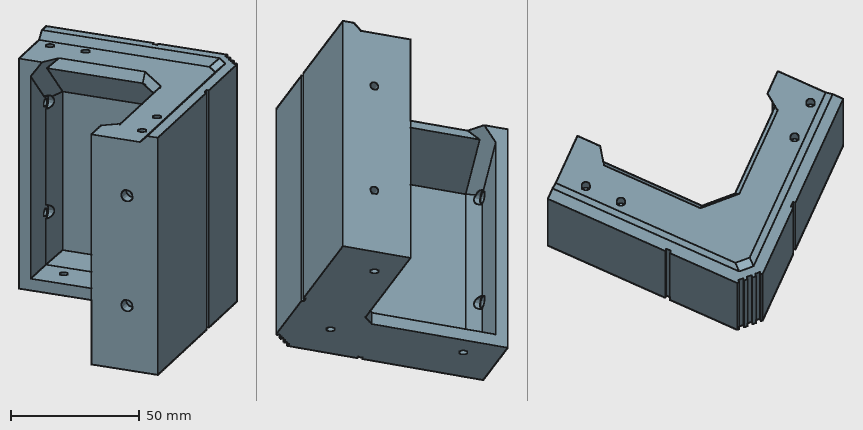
import math

import cadquery as cq


LENGTH_X = 83.5
LENGTH_Y = 88.5
HEIGHT = 100.0
WING_THICKNESS = 28.0
OUTER_CHAMFER = 7.5
INNER_CHAMFER = 4.2
REACH = 200.0

LIP_HEIGHT = 3.0
LIP_WIDTH = 4.5
LIP_CORNER_LEG = 4.2
DECK_Z = HEIGHT - LIP_HEIGHT

WALL = 5.0
BEVEL = 5.0
BACK_DEPTH = 7.5
CORNER_WALL_SUM = 29.4
FLOOR_CORNER_LEG = 7.0
OVERHANG_START_Z = 76.8
NOSE_DEPTH = 23.5
NOSE_TOP_DEPTH = 21.6
OVERHANG_CORNER_LEG = 9.7
NOSE_TOP_CORNER_LEG = 11.4
NOSE_Z = OVERHANG_START_Z + NOSE_DEPTH - BACK_DEPTH

GROOVE_WIDTH = 2.0
GROOVE_DEPTH = 1.0
FACE_GROOVE_FROM_CORNER = 37.3
CORNER_GROOVE_PITCH = 3.5
CORNER_GROOVE_COUNT = 3

DECK_HOLE_DIAMETER = 3.3
DECK_HOLE_LENGTH = 12.0
DECK_HOLE_DEPTH = 11.2
DECK_HOLES_FROM_CORNER = (62.3, 77.3)
FLOOR_HOLE_DIAMETER = 3.3
FLOOR_HOLE_DEPTH = 18.5
FLOOR_HOLE_FROM_END = 15.0
END_HOLE_DEPTH = 13.0
END_HOLE_HEIGHTS = (27.2, 73.5)
END_HOLE_DIAMETER_X = 3.2
END_HOLE_DIAMETER_Y = 4.7
SPOTFACE_DIAMETER = 6.0
SPOTFACE_LENGTH = 8.0

TO_X_END = cq.Vector(-1, 0, 0)
TO_Y_END = cq.Vector(0, -1, 0)
INTO_CORNER = cq.Vector(-1, -1, 0).normalized()
UP = cq.Vector(0, 0, 1)


def prism(points, x_axis, y_axis, origin=cq.Vector(0, 0, 0)):
    """Outline in the plane of two axes, extruded far to both sides."""
    plane = cq.Plane(origin=origin, xDir=x_axis, normal=x_axis.cross(y_axis))
    return cq.Workplane(plane).polyline(points).close().extrude(REACH, both=True)


def corner_region(depth_profile, sum_profile):
    """Space behind one (depth, z) profile on both wings and a (depth sum, z) profile across the corner."""
    diagonal_profile = [(depth_sum / math.sqrt(2), z) for depth_sum, z in sum_profile]
    along_x_wing = prism(depth_profile, TO_Y_END, UP)
    along_y_wing = prism(depth_profile, TO_X_END, UP)
    across_corner = prism(diagonal_profile, INTO_CORNER, UP)
    return along_x_wing.intersect(along_y_wing).intersect(across_corner)


def body():
    outline = [
        (-OUTER_CHAMFER, 0),
        (0, -OUTER_CHAMFER),
        (0, -LENGTH_Y),
        (-WING_THICKNESS, -LENGTH_Y),
        (-WING_THICKNESS, -WING_THICKNESS - INNER_CHAMFER),
        (-WING_THICKNESS - INNER_CHAMFER, -WING_THICKNESS),
        (-LENGTH_X, -WING_THICKNESS),
        (-LENGTH_X, 0),
    ]
    return cq.Workplane("XY").polyline(outline).close().extrude(HEIGHT)


def lip_recess():
    """Space above the deck, bounded by the 45 degree inner slope of the lip."""
    foot = LIP_WIDTH + LIP_HEIGHT
    depth_profile = [(foot, DECK_Z), (LIP_WIDTH, HEIGHT), (REACH, HEIGHT), (REACH, DECK_Z)]
    sum_profile = [
        (2 * foot + LIP_CORNER_LEG, DECK_Z),
        (2 * LIP_WIDTH + LIP_CORNER_LEG, HEIGHT),
        (REACH, HEIGHT),
        (REACH, DECK_Z),
    ]
    return corner_region(depth_profile, sum_profile)


def end_bevel(end_direction, length, face_point, off_face):
    """Bevel between the end wall of a wing and the pocket face whose normal is off_face."""
    overrun = 4 * BEVEL
    triangle = [
        (0, WALL + BEVEL),
        (0, -overrun),
        (WALL + BEVEL + overrun, -overrun),
    ]
    origin = end_direction * length + face_point
    return prism(triangle, end_direction * -1, off_face, origin)


def pocket():
    floor_depth = BACK_DEPTH + BEVEL
    depth_profile = [
        (floor_depth, WALL),
        (BACK_DEPTH, WALL + BEVEL),
        (BACK_DEPTH, OVERHANG_START_Z),
        (NOSE_DEPTH, NOSE_Z),
        (NOSE_TOP_DEPTH, DECK_Z),
        (REACH, DECK_Z),
        (REACH, WALL),
    ]
    floor_sum = 2 * floor_depth + FLOOR_CORNER_LEG
    nose_sum = 2 * NOSE_DEPTH + OVERHANG_CORNER_LEG
    sum_profile = [
        (floor_sum, WALL),
        (CORNER_WALL_SUM, WALL + (floor_sum - CORNER_WALL_SUM) / 2),
        (CORNER_WALL_SUM, NOSE_Z - (nose_sum - CORNER_WALL_SUM) / 2),
        (nose_sum, NOSE_Z),
        (2 * NOSE_TOP_DEPTH + NOSE_TOP_CORNER_LEG, DECK_Z),
        (REACH, DECK_Z),
        (REACH, WALL),
    ]
    between_end_walls = cq.Workplane("XY").box(
        LENGTH_X - WALL, LENGTH_Y - WALL, HEIGHT, centered=False
    ).translate((WALL - LENGTH_X, WALL - LENGTH_Y, 0))
    space = corner_region(depth_profile, sum_profile).intersect(between_end_walls)

    wings = [(TO_X_END, LENGTH_X, TO_Y_END), (TO_Y_END, LENGTH_Y, TO_X_END)]
    for end_direction, length, inward in wings:
        back_point = inward * BACK_DEPTH
        overhang_point = back_point + UP * OVERHANG_START_Z
        off_overhang = (inward - UP).normalized()
        space = space.cut(end_bevel(end_direction, length, back_point, inward))
        space = space.cut(end_bevel(end_direction, length, overhang_point, off_overhang))
    return space


def groove(x, y, angle):
    """Full-height groove centred at (x, y) on an outer face; angle turns its width from X."""
    return (
        cq.Workplane("XY")
        .rect(GROOVE_WIDTH, 2 * GROOVE_DEPTH)
        .extrude(HEIGHT)
        .rotate((0, 0, 0), (0, 0, 1), angle)
        .translate((x, y, 0))
    )


def grooves():
    cutters = groove(-FACE_GROOVE_FROM_CORNER, 0, 0)
    cutters = cutters.union(groove(0, -FACE_GROOVE_FROM_CORNER, 90))
    for index in range(CORNER_GROOVE_COUNT):
        from_middle = (index - (CORNER_GROOVE_COUNT - 1) / 2) * CORNER_GROOVE_PITCH / math.sqrt(2)
        x = -OUTER_CHAMFER / 2 + from_middle
        y = -OUTER_CHAMFER / 2 - from_middle
        cutters = cutters.union(groove(x, y, -45))
    return cutters


def drill(start, direction, diameter, length):
    return cq.Workplane(cq.Solid.makeCylinder(diameter / 2, length, start, direction))


def deck_holes():
    bottom = DECK_Z - DECK_HOLE_LENGTH
    cutters = cq.Workplane("XY")
    for distance in DECK_HOLES_FROM_CORNER:
        for x, y in ((-distance, -DECK_HOLE_DEPTH), (-DECK_HOLE_DEPTH, -distance)):
            hole = drill(cq.Vector(x, y, bottom), UP, DECK_HOLE_DIAMETER, DECK_HOLE_LENGTH)
            cutters = cutters.add(hole)
    return cutters.combine()


def floor_holes():
    centers = [
        (-FLOOR_HOLE_DEPTH, -FLOOR_HOLE_DEPTH),
        (FLOOR_HOLE_FROM_END - LENGTH_X, -FLOOR_HOLE_DEPTH),
        (-FLOOR_HOLE_DEPTH, FLOOR_HOLE_FROM_END - LENGTH_Y),
    ]
    return cq.Workplane("XY").pushPoints(centers).circle(FLOOR_HOLE_DIAMETER / 2).extrude(WALL)


def end_holes(end_direction, length, inward, diameter):
    """Holes through the end wall of one wing, with the bevel behind them spotfaced."""
    cutters = cq.Workplane("XY")
    for z in END_HOLE_HEIGHTS:
        start = end_direction * length + inward * END_HOLE_DEPTH + UP * z
        inner_face = start - end_direction * WALL
        cutters = cutters.add(drill(start, end_direction * -1, diameter, WALL))
        cutters = cutters.add(drill(inner_face, end_direction * -1, SPOTFACE_DIAMETER, SPOTFACE_LENGTH))
    return cutters.combine()


result = (
    body()
    .cut(lip_recess())
    .cut(pocket())
    .cut(grooves())
    .cut(deck_holes())
    .cut(floor_holes())
    .cut(end_holes(TO_X_END, LENGTH_X, TO_Y_END, END_HOLE_DIAMETER_X))
    .cut(end_holes(TO_Y_END, LENGTH_Y, TO_X_END, END_HOLE_DIAMETER_Y))
)